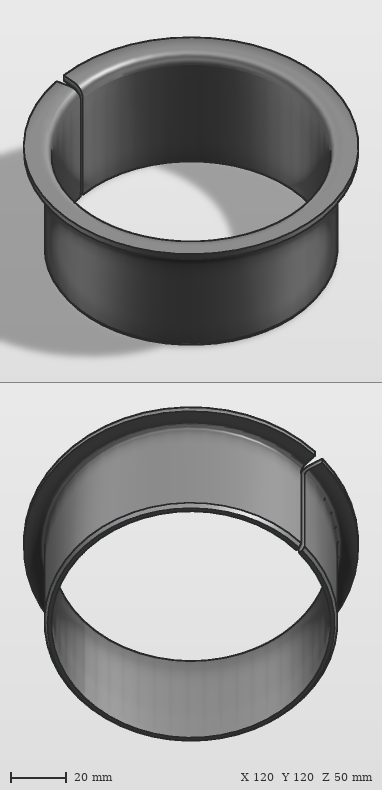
import cadquery as cq

flange_radius = 60.0
height = 50.0
wall = 2.5
bore_radius = 50.0
bend_inside_radius = 2.0
lead_in_width = 1.1
lead_in_height = 1.8

sleeve_radius = bore_radius + wall
bend_outside_radius = bend_inside_radius + wall
flange_underside = height - wall

split_half_width_at_bore = 0.6
split_half_width_at_rim = 2.0


def make_bushing():
    """Revolve the bent wall section, with its tapered lower end, about Z."""
    bend_radial_center = bore_radius + bend_outside_radius
    bend_height_center = height - bend_outside_radius
    profile = (
        cq.Workplane("XZ")
        .moveTo(bore_radius, 0)
        .lineTo(sleeve_radius - lead_in_width, 0)
        .lineTo(sleeve_radius, lead_in_height)
        .lineTo(sleeve_radius, bend_height_center)
        .radiusArc((bend_radial_center, flange_underside), bend_inside_radius)
        .lineTo(flange_radius, flange_underside)
        .lineTo(flange_radius, height)
        .lineTo(bend_radial_center, height)
        .radiusArc((bore_radius, bend_height_center), -bend_outside_radius)
        .close()
    )
    return profile.revolve(360, (0, 0, 0), (0, 1, 0))


def make_split_cutter():
    """Wedge through the full height, extended past the rim and into the bore."""
    overrun = 1.2
    taper = (split_half_width_at_rim - split_half_width_at_bore) / (flange_radius - bore_radius)
    inner_radius = bore_radius - overrun
    outer_radius = flange_radius + overrun
    inner_half_width = split_half_width_at_bore - taper * overrun
    outer_half_width = split_half_width_at_rim + taper * overrun
    return (
        cq.Workplane("XY")
        .moveTo(-inner_radius, -inner_half_width)
        .lineTo(-outer_radius, -outer_half_width)
        .lineTo(-outer_radius, outer_half_width)
        .lineTo(-inner_radius, inner_half_width)
        .close()
        .extrude(height)
    )


result = make_bushing().cut(make_split_cutter())